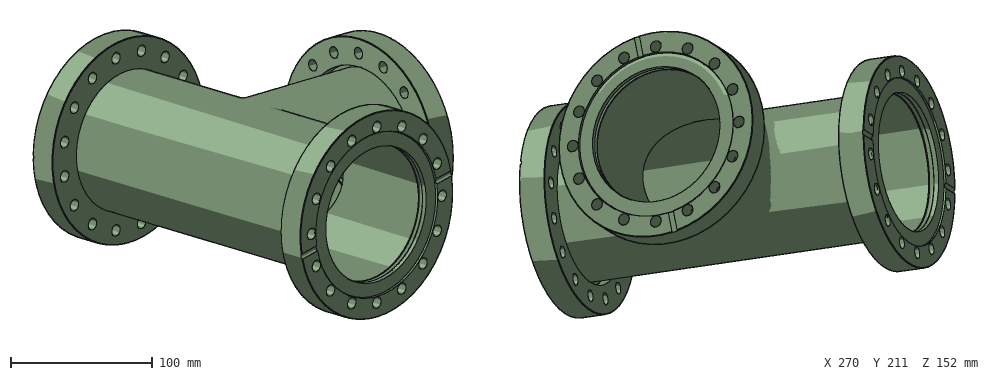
import cadquery as cq

RUN_LENGTH = 270.0
BRANCH_REACH = 135.0

TUBE_OD = 104.0
TUBE_ID = 100.5
CROTCH_RADIUS = 7.0

FLANGE_OD = 152.0
FLANGE_THICKNESS = 20.0
RIM_CHAMFER = 0.49

BORE_DIAMETER = 100.0
SOCKET_DIAMETER = 104.2
KNIFE_DIAMETER = 115.0
KNIFE_DEPTH = 0.8
RECESS_DIAMETER = 120.7
RECESS_DEPTH = 1.5

LAND_LENGTH = 3.8
RELIEF_RADIUS = 1.5
RELIEF_LIP = 0.8
RELIEF_DEPTH = KNIFE_DEPTH + LAND_LENGTH + RELIEF_RADIUS
TUBE_END_DEPTH = RELIEF_DEPTH + RELIEF_RADIUS + RELIEF_LIP

RING_FRONT_BORE = 121.2
RING_BACK_BORE = 110.2
RING_SEAT_DEPTH = 12.2
INSERT_OD = 120.5

BOLT_COUNT = 16
BOLT_CIRCLE = 130.1
BOLT_HOLE = 8.5
HALF_PITCH_ANGLE = 180.0 / BOLT_COUNT
LEAK_GROOVE_WIDTH = 4.0
LEAK_GROOVE_DEPTH = 1.0



def revolve_profile(points):
    """Revolve an outline of (radius, depth) points about the flange axis."""
    outline = cq.Workplane("XZ").polyline([(radius, -depth) for radius, depth in points]).close()
    return outline.revolve(360, (0, 0, 0), (0, 1, 0))


def sealing_points(recess_radius):
    """Tube stop, bore, knife edge and recess floor, from the socket outwards."""
    return [
        (SOCKET_DIAMETER / 2, TUBE_END_DEPTH),
        (BORE_DIAMETER / 2, TUBE_END_DEPTH),
        (BORE_DIAMETER / 2, KNIFE_DEPTH),
        (KNIFE_DIAMETER / 2, KNIFE_DEPTH),
        (recess_radius, RECESS_DEPTH),
    ]


def rim_points():
    """Chamfered outer rim, from the face to the back."""
    rim = FLANGE_OD / 2
    return [
        (rim - RIM_CHAMFER, 0),
        (rim, RIM_CHAMFER),
        (rim, FLANGE_THICKNESS - RIM_CHAMFER),
        (rim - RIM_CHAMFER, FLANGE_THICKNESS),
    ]


def cut_relief(body):
    """Cut the round relief groove into the bore."""
    bore = BORE_DIAMETER / 2
    section = cq.Workplane("XZ").center(bore, -RELIEF_DEPTH).circle(RELIEF_RADIUS)
    return body.cut(section.revolve(360, (-bore, 0, 0), (-bore, 1, 0)))


def cut_bolt_holes(body):
    holes = (
        cq.Workplane("XY")
        .polarArray(BOLT_CIRCLE / 2, HALF_PITCH_ANGLE, 360, BOLT_COUNT)
        .circle(BOLT_HOLE / 2)
        .extrude(-FLANGE_THICKNESS)
    )
    return body.cut(holes)


def cut_leak_grooves(body):
    """Cut two opposite round-bottomed grooves along X, each midway between two bolt holes."""
    half_width = LEAK_GROOVE_WIDTH / 2
    radius = (half_width ** 2 + LEAK_GROOVE_DEPTH ** 2) / (2 * LEAK_GROOVE_DEPTH)
    grooves = (
        cq.Workplane("YZ")
        .center(0, radius - LEAK_GROOVE_DEPTH)
        .circle(radius)
        .extrude(FLANGE_OD / 2, both=True)
    )
    centre = cq.Workplane("XY").circle(RECESS_DIAMETER / 2).extrude(FLANGE_THICKNESS, both=True)
    return body.cut(grooves.cut(centre))


def make_fixed_flange():
    recess = RECESS_DIAMETER / 2
    socket_back = (SOCKET_DIAMETER / 2, FLANGE_THICKNESS)
    flange = revolve_profile(sealing_points(recess) + [(recess, 0)] + rim_points() + [socket_back])
    return cut_leak_grooves(cut_bolt_holes(cut_relief(flange)))


def make_rotatable_ring():
    """Outer bolt ring, stepped inside to seat the insert."""
    front = RING_FRONT_BORE / 2
    back = RING_BACK_BORE / 2
    stepped_bore = [
        (back, FLANGE_THICKNESS),
        (back, RING_SEAT_DEPTH),
        (front, RING_SEAT_DEPTH),
        (front, 0),
    ]
    return cut_leak_grooves(cut_bolt_holes(revolve_profile(stepped_bore + rim_points())))


def make_insert():
    """Sealing disc that sits on the seat of a rotatable ring."""
    outer = INSERT_OD / 2
    back = [(outer, RING_SEAT_DEPTH), (SOCKET_DIAMETER / 2, RING_SEAT_DEPTH)]
    return cut_relief(revolve_profile(sealing_points(outer) + back))


def crossed_cylinders(diameter):
    """Cylinder along the run joined by one along the branch, both ending at the tube stops."""
    run_half = RUN_LENGTH / 2 - TUBE_END_DEPTH
    branch_length = BRANCH_REACH - TUBE_END_DEPTH
    run = cq.Workplane("YZ").circle(diameter / 2).extrude(run_half, both=True)
    branch = cq.Workplane("XZ").circle(diameter / 2).extrude(-branch_length)
    return run.union(branch)


def make_tee_tube():
    """Run and branch tube in one piece, with a filleted crotch."""
    outside = crossed_cylinders(TUBE_OD).edges("%ELLIPSE").fillet(CROTCH_RADIUS)
    return outside.cut(crossed_cylinders(TUBE_ID))



def at_left_end(body):
    return body.rotate((0, 0, 0), (0, 1, 0), -90).translate((-RUN_LENGTH / 2, 0, 0))


def at_right_end(body):
    return body.rotate((0, 0, 0), (0, 1, 0), 90).translate((RUN_LENGTH / 2, 0, 0))


def at_branch_end(body):
    return body.rotate((0, 0, 0), (1, 0, 0), -90).translate((0, BRANCH_REACH, 0))


def turned(body, angle):
    """Turn a part about the flange axis."""
    return body.rotate((0, 0, 0), (0, 0, 1), angle)


tee_tube = make_tee_tube()

fixed_flange = at_left_end(turned(make_fixed_flange(), 90))
ring_angle = 90 + HALF_PITCH_ANGLE

rotatable_rings = []
inserts = []
for at_end in (at_right_end, at_branch_end):
    rotatable_rings.append(at_end(turned(make_rotatable_ring(), ring_angle)).val())
    inserts.append(at_end(turned(make_insert(), ring_angle)).val())

result = cq.Compound.makeCompound([tee_tube.val(), fixed_flange.val(), *rotatable_rings, *inserts])